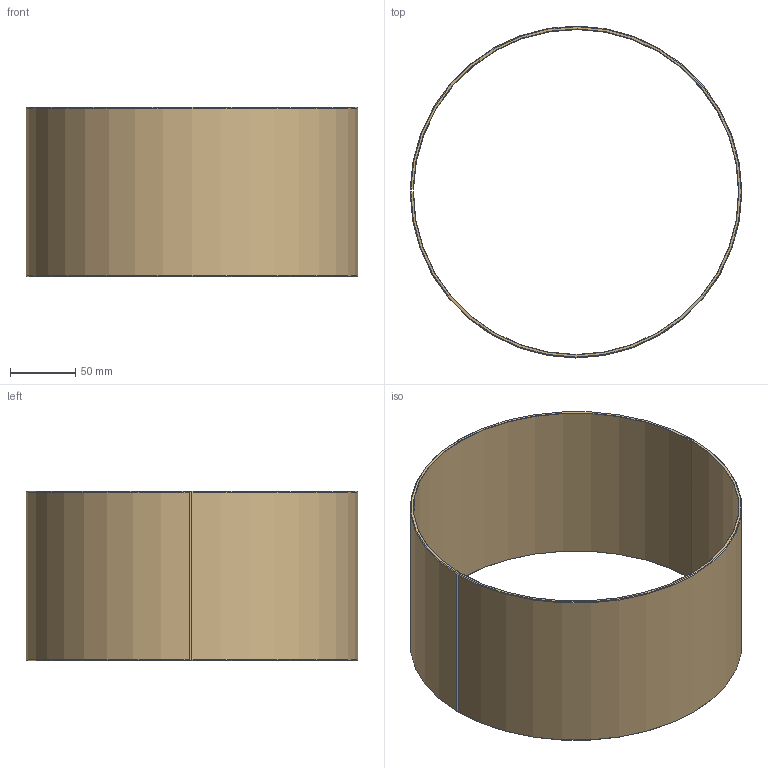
import cadquery as cq
import math

outer_diameter = 255.0
wall_thickness = 2.5
height = 130.0
outer_chamfer = 0.5
inner_chamfer = 0.2
slit_angle = 1.0

outer_radius = outer_diameter / 2
inner_radius = outer_radius - wall_thickness


def make_cylinder(radius, rim_chamfer):
    """Solid cylinder on the XY plane with its top and bottom rims chamfered."""
    return cq.Workplane("XY").circle(radius).extrude(height).edges("%CIRCLE").chamfer(rim_chamfer)


def chamfer_bore(tube):
    """Chamfer the two rims of the bore."""
    bore_rims = cq.selectors.RadiusNthSelector(0)
    return tube.edges(bore_rims).chamfer(inner_chamfer)


def make_tube():
    """Tube centred on the Z axis, chamfered on all four rims."""
    bore = cq.Workplane("XY").circle(inner_radius).extrude(height)
    return chamfer_bore(make_cylinder(outer_radius, outer_chamfer).cut(bore))


def make_slit_cutter():
    """Wedge with its tip on the Z axis that reaches past the wall on the -X side."""
    reach = outer_radius + wall_thickness
    far_width = reach * math.tan(math.radians(slit_angle))
    return (
        cq.Workplane("XY")
        .polyline([(0, 0), (-reach, 0), (-reach, far_width)])
        .close()
        .extrude(height)
    )


result = make_tube().cut(make_slit_cutter())